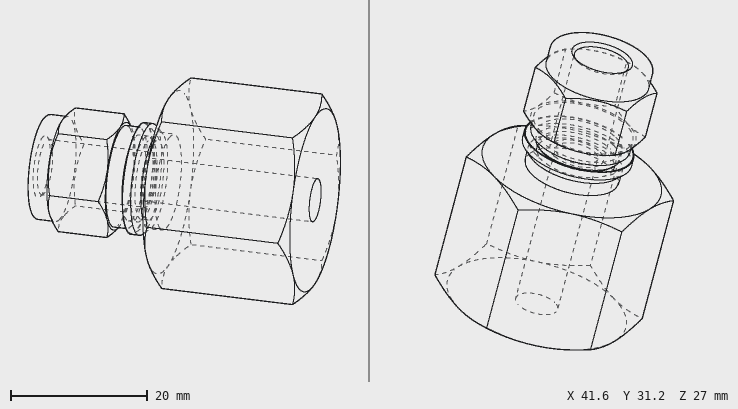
import cadquery as cq
import math

TOTAL_LENGTH = 41.57
BODY_HEX_START = 19.25

BODY_FLATS = 27.0

COLLAR_DIAMETER = 15.5
COLLAR_FILLET = 0.5
NUT_HEX_START = 3.0
NUT_HEX_END = 11.92
NUT_FLATS = 15.875
SKIRT_DIAMETER = 15.0
SKIRT_END = 14.0
SKIRT_FILLET = 0.3

NECK_DIAMETER = 12.7
FLANGE_DIAMETER = 16.5
FLANGE_START = 14.6
FLANGE_RIM_WIDTH = 1.28
FLANGE_CONE_WIDTH = 1.25
SHOULDER_DIAMETER = 14.2
SHOULDER_BEVEL_WIDTH = 0.4
SHOULDER_BEVEL_DEPTH = 0.1

GROOVE_DIAMETER = 16.2
GROOVE_DEPTH = 2.3
GROOVE_WALL_SAGITTA = 0.25
UNDERCUT_DIAMETER = 11.7
UNDERCUT_OFFSET = 0.75

THROUGH_DIAMETER = 6.35
TUBE_DIAMETER = 8.14
TUBE_DEPTH = 16.2
TUBE_CHAMFER = 0.5

HEX_CHAMFER_ANGLE = math.radians(30)


def revolve_profile(points):
    """Revolve closed (x, radius) points around the X axis."""
    return cq.Workplane("XY").polyline(points).close().revolve(360, (0, 0, 0), (1, 0, 0))


def cylinder(start, end, diameter):
    """Solid cylinder on the X axis from start to end."""
    return cq.Workplane("YZ").workplane(offset=start).circle(diameter / 2).extrude(end - start)


def chamfered_hex(start, end, flats, start_circle, end_circle):
    """Hexagon with corners on Y, turned down by a cone at each end."""
    corner_diameter = flats / math.cos(math.pi / 6)
    corner_radius = corner_diameter / 2
    slope = math.tan(HEX_CHAMFER_ANGLE)
    start_radius = start_circle / 2
    end_radius = end_circle / 2
    prism = cq.Workplane("YZ").workplane(offset=start).polygon(6, corner_diameter).extrude(end - start)
    envelope = revolve_profile([
        (start, 0),
        (start, start_radius),
        (start + (corner_radius - start_radius) * slope, corner_radius),
        (end - (corner_radius - end_radius) * slope, corner_radius),
        (end, end_radius),
        (end, 0),
    ])
    return prism.intersect(envelope)


def tube_nut():
    """Collar, hexagon and skirt of the nut, in line along X."""
    collar = cylinder(0, NUT_HEX_START, COLLAR_DIAMETER).faces("<X").edges().fillet(COLLAR_FILLET)
    hexagon = chamfered_hex(NUT_HEX_START, NUT_HEX_END, NUT_FLATS, COLLAR_DIAMETER, NUT_FLATS)
    skirt = cylinder(NUT_HEX_END, SKIRT_END, SKIRT_DIAMETER).faces(">X").edges().fillet(SKIRT_FILLET)
    return collar.union(hexagon).union(skirt)


def neck():
    """Neck, hollow-faced flange and shoulder turned as one profile."""
    neck_radius = NECK_DIAMETER / 2
    flange_radius = FLANGE_DIAMETER / 2
    groove_radius = GROOVE_DIAMETER / 2
    shoulder_radius = SHOULDER_DIAMETER / 2
    rim_end = FLANGE_START + FLANGE_RIM_WIDTH
    bevel_start = BODY_HEX_START - SHOULDER_BEVEL_WIDTH
    undercut_radius = UNDERCUT_DIAMETER / 2
    undercut_start = FLANGE_START + UNDERCUT_OFFSET
    groove_bottom = FLANGE_START + GROOVE_DEPTH
    profile = (
        cq.Workplane("XY")
        .moveTo(SKIRT_END, 0)
        .lineTo(SKIRT_END, neck_radius)
        .lineTo(undercut_start, neck_radius)
        .lineTo(undercut_start + neck_radius - undercut_radius, undercut_radius)
        .lineTo(groove_bottom, undercut_radius)
        .sagittaArc((FLANGE_START, groove_radius), -GROOVE_WALL_SAGITTA)
        .lineTo(FLANGE_START, flange_radius)
        .lineTo(rim_end, flange_radius)
        .lineTo(rim_end + FLANGE_CONE_WIDTH, shoulder_radius)
        .lineTo(bevel_start, shoulder_radius)
        .lineTo(BODY_HEX_START, shoulder_radius - SHOULDER_BEVEL_DEPTH)
        .lineTo(BODY_HEX_START, 0)
        .close()
    )
    return profile.revolve(360, (0, 0, 0), (1, 0, 0))


def bores():
    """Chamfered tube socket stepping down to the through bore."""
    tube_radius = TUBE_DIAMETER / 2
    through_radius = THROUGH_DIAMETER / 2
    return revolve_profile([
        (0, 0),
        (0, tube_radius + TUBE_CHAMFER),
        (TUBE_CHAMFER, tube_radius),
        (TUBE_DEPTH, tube_radius),
        (TUBE_DEPTH, through_radius),
        (TOTAL_LENGTH, through_radius),
        (TOTAL_LENGTH, 0),
    ])


body = chamfered_hex(BODY_HEX_START, TOTAL_LENGTH, BODY_FLATS, BODY_FLATS, BODY_FLATS)
result = tube_nut().union(neck()).union(body).cut(bores())